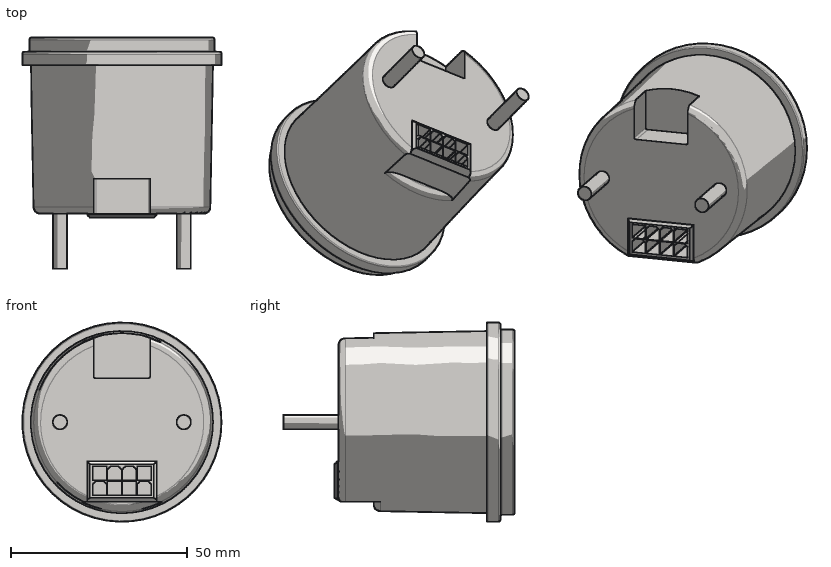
import cadquery as cq


overall_length = 65.5
select_margin = 0.05

case_front_radius = 25.8
case_back_radius = 25.0
rim_fillet = 1.95

flange_radius = 28.2
flange_back_y = 42.0
flange_front_y = 45.9
flange_back_fillet = 0.3
bezel_radius = 26.25
bezel_front_y = 49.9
front_edge_fillet = 0.7
bezel_root_fillet = 0.3

stud_radius = 2.0
stud_spacing = 35.05
stud_length = overall_length - bezel_front_y

pocket_depth = 9.95
notch_width = 16.0
notch_floor_z = 12.45
notch_corner_fillet = 0.5
recess_floor_z = -22.6

housing_width = 19.65
housing_top_z = -11.15
housing_height = 1.1
housing_bevel = 0.8
bottom_bevel_height = 1.2
bottom_bevel_length = 1.9

cell_columns = 4
cell_rows = 2
cell_pitch = 4.2
cell_wall = 0.2
cell_corner = 0.9
cell_depth = 9.95
cell_center_z = -16.6
keyed_cells = {(0, 1), (0, 2), (1, 0), (1, 3)}


def disc(radius, back_y, front_y):
    """Cylinder on the gauge axis between two Y positions."""
    return cq.Workplane("XZ", origin=(0, back_y, 0)).circle(radius).extrude(back_y - front_y)


def make_case():
    """Tapered can with a recess along its bottom and a rounded back rim."""
    can = (
        cq.Workplane("XY")
        .polyline([(0, 0), (case_back_radius, 0), (case_front_radius, flange_back_y), (0, flange_back_y)])
        .close()
        .revolve(360, (0, 0, 0), (0, 1, 0))
    )
    recess = cq.Workplane("XY").box(
        2 * case_front_radius, pocket_depth, case_front_radius, centered=(True, False, False)
    ).translate((0, 0, recess_floor_z - case_front_radius))
    can = can.cut(recess)

    back_rim = can.faces("<Y").edges("%CIRCLE")
    recess_rim = can.edges(cq.selectors.BoxSelector(
        (-case_front_radius, pocket_depth - select_margin, -case_front_radius),
        (case_front_radius, pocket_depth + select_margin, recess_floor_z - select_margin),
    ))
    return can.newObject(back_rim.vals() + recess_rim.vals()).fillet(rim_fillet)


def make_notch():
    """Cutter for the open notch at the top of the case back."""
    return (
        cq.Workplane("XY")
        .box(notch_width, pocket_depth, case_front_radius, centered=(True, False, False))
        .edges("|Y and <Z")
        .fillet(notch_corner_fillet)
        .translate((0, 0, notch_floor_z))
    )


def make_front():
    """Flange and bezel ring with rounded edges and a small cove between them."""
    flange = disc(flange_radius, flange_back_y, flange_front_y)
    flange = flange.faces("<Y").edges().fillet(flange_back_fillet)
    flange = flange.faces(">Y").edges().fillet(front_edge_fillet)
    bezel = disc(bezel_radius, flange_front_y, bezel_front_y)
    bezel = bezel.faces(">Y").edges().fillet(front_edge_fillet)
    root_reach = bezel_radius + select_margin
    root = cq.selectors.BoxSelector(
        (-root_reach, flange_front_y - select_margin, -root_reach),
        (root_reach, flange_front_y + select_margin, root_reach),
        boundingbox=True,
    )
    front = flange.union(bezel)
    return front.edges(root).fillet(bezel_root_fillet)


def make_studs():
    """Two studs standing out of the case back."""
    return (
        cq.Workplane("XZ")
        .pushPoints([(-stud_spacing / 2, 0), (stud_spacing / 2, 0)])
        .circle(stud_radius)
        .extrude(stud_length)
    )


def make_housing():
    """Raised connector frame, rooted behind the rim fillet and flush with the recess floor."""
    height_z = housing_top_z - recess_floor_z
    frame = (
        cq.Workplane("XZ", origin=(0, rim_fillet, recess_floor_z + height_z / 2))
        .rect(housing_width, height_z)
        .extrude(rim_fillet + housing_height)
    )
    return frame.faces("<Y").edges("|Z or >Z").chamfer(housing_bevel)


def make_bottom_bevel():
    """Cutter for the long bevel along the bottom of the connector frame and case back."""
    return (
        cq.Workplane("YZ", origin=(-housing_width / 2, 0, 0))
        .polyline([
            (bottom_bevel_length - housing_height, recess_floor_z),
            (-housing_height, recess_floor_z),
            (-housing_height, recess_floor_z + bottom_bevel_height),
        ])
        .close()
        .extrude(housing_width)
    )


def make_cells():
    """Cutter for the contact cells; keyed cells have bevelled upper corners."""
    side = cell_pitch - cell_wall
    length = cell_depth + housing_height
    square = cq.Workplane("XY").box(side, length, side)
    keyed = square.edges("|Y and >Z").chamfer(cell_corner)
    cells = cq.Workplane("XY")
    for row in range(cell_rows):
        for column in range(cell_columns):
            x = (column - (cell_columns - 1) / 2) * cell_pitch
            z = cell_center_z + ((cell_rows - 1) / 2 - row) * cell_pitch
            y = length / 2 - housing_height
            cell = keyed if (row, column) in keyed_cells else square
            cells = cells.add(cell.translate((x, y, z)))
    return cells.combine()


result = (
    make_case()
    .union(make_front())
    .cut(make_notch())
    .union(make_studs())
    .union(make_housing())
    .cut(make_bottom_bevel())
    .cut(make_cells())
)